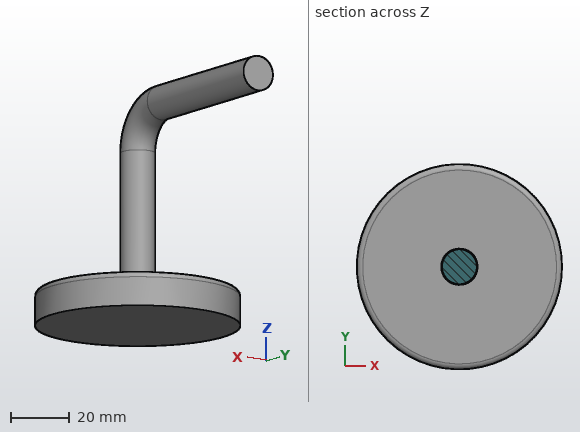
import cadquery as cq

overall_height = 81.0
overall_length = 110

cover_diameter = 70.0
cover_height = 12.0
rim_fillet = 2.0

rod_diameter = 12.0
bend_radius = 15.0

bore_diameter = 12.4
bore_depth = cover_height / 2

bore_floor_z = cover_height - bore_depth
rod_axis_height = overall_height - rod_diameter / 2
rod_tip_y = overall_length - cover_diameter / 2


def make_cover():
    """Round disc with a rounded upper rim and a clearance bore for the rod."""
    disc = cq.Workplane("XY").circle(cover_diameter / 2).extrude(cover_height)
    disc = disc.faces(">Z").edges().fillet(rim_fillet)
    bore = (
        cq.Workplane("XY")
        .workplane(offset=bore_floor_z)
        .circle(bore_diameter / 2)
        .extrude(bore_depth)
    )
    return disc.cut(bore)


def make_rod():
    """Round rod that rises from the bore floor and bends a quarter turn toward +Y."""
    bend_start_z = rod_axis_height - bend_radius
    path = (
        cq.Workplane("YZ")
        .moveTo(0, bore_floor_z)
        .lineTo(0, bend_start_z)
        .radiusArc((bend_radius, rod_axis_height), bend_radius)
        .lineTo(rod_tip_y, rod_axis_height)
    )
    return (
        cq.Workplane("XY")
        .workplane(offset=bore_floor_z)
        .circle(rod_diameter / 2)
        .sweep(path)
    )


cover = make_cover()
rod = make_rod()
result = cq.Compound.makeCompound([cover.val(), rod.val()])